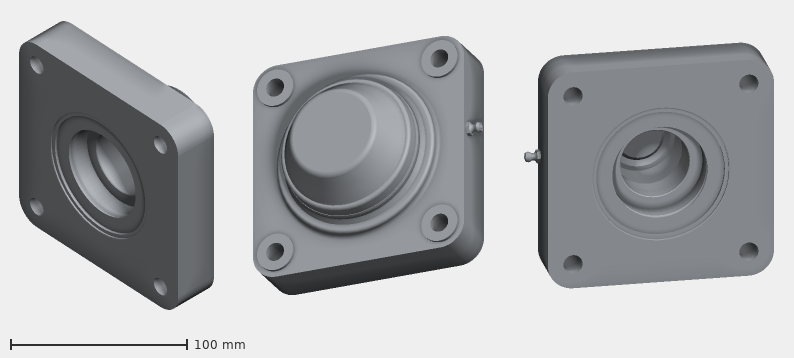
import cadquery as cq
import math


PLATE_SIDE = 131.0
PLATE_THICKNESS = 28.0
CORNER_RADIUS = 14.5
BOLT_OFFSET = 51.0
BOLT_HOLE_DIAMETER = 11.0
BOLT_PAD_DIAMETER = 22.4
BOLT_PAD_HEIGHT = 2.0

FLANGE_RADIUS = 48.9
FLANGE_BOTTOM_Y = 30.4
FLANGE_TOP_Y = 33.5
FLANGE_TOP_FILLET = 2.0
FLANGE_FOOT_FILLET = FLANGE_BOTTOM_Y - PLATE_THICKNESS
HUB_RADIUS = 41.6
HUB_CONE_HEIGHT = 2.4
RIM_CHAMFER_Y = 38.4
RIM_TOP_Y = 39.8
RIM_TOP_RADIUS = 41.2

SEAT_RADIUS = 37.2
SHELF_RADIUS = 39.6
SHELF_DEPTH = 1.1
MOUTH_RADIUS = 40.2
MOUTH_CHAMFER_DEPTH = 0.1

OUTER_RING_FACE_Y = 2.8
OUTER_RING_BORE_RADIUS = 27.6
LIP_THICKNESS = 0.7
GROOVE_RADIUS = 28.4
GROOVE_FLOOR_END_Y = 5.3
GROOVE_END_Y = 6.6
INNER_RING_FACE_Y = 17.2
SHAFT_RADIUS = 20.0
SHAFT_CHAMFER = 0.4
RINGS_TOP_Y = 38.4

CAP_BASE_RADIUS = 40.9
CAP_SHOULDER_RADIUS = 40.3
CAP_SHOULDER_Y = 47.2
CAP_SHOULDER_FILLET = 2.1
CAP_NECK_FOOT_RADIUS = 37.5
CAP_NECK_RADIUS = 36.7
CAP_NECK_Y = 48.3
CAP_CONE_MID = (31.9, 55.7)
CAP_CONE_TOP = (27.7, 63.0)
CAP_TOP_EDGE_MID = (26.5, 64.7)
CAP_TOP_RADIUS = 24.4
CAP_TOP_Y = 65.5
CAP_WALL = 3.5
ROOF_GROOVE_OUTER = 18.2
ROOF_GROOVE_MIDDLE = 15.1
ROOF_GROOVE_INNER = 13.0
ROOF_GROOVE_DEPTH = 2.1

NIPPLE_Y = 23.0
NIPPLE_Z = 7.3
NIPPLE_LENGTH = 9.0
HEX_ACROSS_FLATS = 7.0
HEX_HEIGHT = 2.1
HEX_TURN = 30
NECK_START = (HEX_HEIGHT, 3.2)
NECK_MID = (3.6, 2.1)
NECK_END = (5.3, 2.5)
HEAD_RIDGE = (6.6, 3.1)
HEAD_FRONT = (8.4, 2.5)
TIP_BASE_RADIUS = 1.4
TIP_END_RADIUS = 1.0


def circle_point(center, radius, degrees):
    """Point on a circle in the (radius, Y) half-plane."""
    angle = math.radians(degrees)
    return (center[0] + radius * math.cos(angle), center[1] + radius * math.sin(angle))


def revolve_about_y(profile):
    """Close a (radius, Y) profile and turn it around the bearing axis."""
    return profile.close().revolve(360, (0, 0, 0), (0, 1, 0))


def cylinder_along_y(points, radius, y_start, y_end):
    """One cylinder of the given radius at each (X, Z) point."""
    plane = cq.Workplane("XZ", origin=(0, y_start, 0))
    return plane.pushPoints(points).circle(radius).extrude(y_start - y_end)


def housing_hub():
    foot_center = (FLANGE_RADIUS + FLANGE_FOOT_FILLET, FLANGE_BOTTOM_Y)
    top_center = (FLANGE_RADIUS - FLANGE_TOP_FILLET, FLANGE_TOP_Y - FLANGE_TOP_FILLET)
    profile = (
        cq.Workplane("XY")
        .moveTo(0, PLATE_THICKNESS)
        .lineTo(FLANGE_RADIUS + FLANGE_FOOT_FILLET, PLATE_THICKNESS)
        .threePointArc(circle_point(foot_center, FLANGE_FOOT_FILLET, 225), (FLANGE_RADIUS, FLANGE_BOTTOM_Y))
        .lineTo(FLANGE_RADIUS, FLANGE_TOP_Y - FLANGE_TOP_FILLET)
        .threePointArc(
            circle_point(top_center, FLANGE_TOP_FILLET, 45),
            (FLANGE_RADIUS - FLANGE_TOP_FILLET, FLANGE_TOP_Y),
        )
        .lineTo(HUB_RADIUS + HUB_CONE_HEIGHT, FLANGE_TOP_Y)
        .lineTo(HUB_RADIUS, FLANGE_TOP_Y + HUB_CONE_HEIGHT)
        .lineTo(HUB_RADIUS, RIM_CHAMFER_Y)
        .lineTo(RIM_TOP_RADIUS, RIM_TOP_Y)
        .lineTo(0, RIM_TOP_Y)
    )
    return revolve_about_y(profile)


def housing_bore():
    profile = (
        cq.Workplane("XY")
        .lineTo(MOUTH_RADIUS, 0)
        .lineTo(SHELF_RADIUS, MOUTH_CHAMFER_DEPTH)
        .lineTo(SHELF_RADIUS, SHELF_DEPTH)
        .lineTo(SEAT_RADIUS, SHELF_DEPTH)
        .lineTo(SEAT_RADIUS, RIM_TOP_Y)
        .lineTo(0, RIM_TOP_Y)
    )
    return revolve_about_y(profile)


def make_housing():
    bolt_points = [(x, z) for x in (-BOLT_OFFSET, BOLT_OFFSET) for z in (-BOLT_OFFSET, BOLT_OFFSET)]
    pad_top_y = PLATE_THICKNESS + BOLT_PAD_HEIGHT
    plate = (
        cq.Workplane("XZ")
        .rect(PLATE_SIDE, PLATE_SIDE)
        .extrude(-PLATE_THICKNESS)
        .edges("|Y")
        .fillet(CORNER_RADIUS)
    )
    pads = cylinder_along_y(bolt_points, BOLT_PAD_DIAMETER / 2, PLATE_THICKNESS, pad_top_y)
    holes = cylinder_along_y(bolt_points, BOLT_HOLE_DIAMETER / 2, 0, pad_top_y)
    return plate.union(housing_hub()).union(pads).cut(holes).cut(housing_bore())


def make_outer_ring():
    lip_end_y = OUTER_RING_FACE_Y + LIP_THICKNESS
    profile = (
        cq.Workplane("XY")
        .moveTo(OUTER_RING_BORE_RADIUS, OUTER_RING_FACE_Y)
        .lineTo(SEAT_RADIUS, OUTER_RING_FACE_Y)
        .lineTo(SEAT_RADIUS, RINGS_TOP_Y)
        .lineTo(OUTER_RING_BORE_RADIUS, RINGS_TOP_Y)
        .lineTo(OUTER_RING_BORE_RADIUS, GROOVE_END_Y)
        .lineTo(GROOVE_RADIUS, GROOVE_FLOOR_END_Y)
        .lineTo(GROOVE_RADIUS, lip_end_y)
        .lineTo(OUTER_RING_BORE_RADIUS, lip_end_y)
    )
    return revolve_about_y(profile)


def make_inner_ring():
    profile = (
        cq.Workplane("XY")
        .moveTo(SHAFT_RADIUS + SHAFT_CHAMFER, INNER_RING_FACE_Y)
        .lineTo(OUTER_RING_BORE_RADIUS, INNER_RING_FACE_Y)
        .lineTo(OUTER_RING_BORE_RADIUS, RINGS_TOP_Y)
        .lineTo(SHAFT_RADIUS, RINGS_TOP_Y)
        .lineTo(SHAFT_RADIUS, INNER_RING_FACE_Y + SHAFT_CHAMFER)
    )
    return revolve_about_y(profile)


def make_cap():
    shoulder_center = (CAP_SHOULDER_RADIUS - CAP_SHOULDER_FILLET, CAP_SHOULDER_Y - CAP_SHOULDER_FILLET)
    roof_y = CAP_TOP_Y - CAP_WALL
    profile = (
        cq.Workplane("XY")
        .moveTo(SEAT_RADIUS, RIM_TOP_Y)
        .lineTo(CAP_BASE_RADIUS, RIM_TOP_Y)
        .lineTo(CAP_SHOULDER_RADIUS, CAP_SHOULDER_Y - CAP_SHOULDER_FILLET)
        .threePointArc(
            circle_point(shoulder_center, CAP_SHOULDER_FILLET, 45),
            (shoulder_center[0], CAP_SHOULDER_Y),
        )
        .lineTo(CAP_NECK_FOOT_RADIUS, CAP_SHOULDER_Y)
        .lineTo(CAP_NECK_RADIUS, CAP_NECK_Y)
        .threePointArc(CAP_CONE_MID, CAP_CONE_TOP)
        .threePointArc(CAP_TOP_EDGE_MID, (CAP_TOP_RADIUS, CAP_TOP_Y))
        .lineTo(0, CAP_TOP_Y)
        .lineTo(0, roof_y)
        .lineTo(ROOF_GROOVE_INNER, roof_y)
        .lineTo(ROOF_GROOVE_MIDDLE, roof_y + ROOF_GROOVE_DEPTH)
        .lineTo(ROOF_GROOVE_OUTER, roof_y)
        .lineTo(CAP_TOP_RADIUS - CAP_WALL, roof_y)
        .lineTo(CAP_NECK_RADIUS - CAP_WALL, CAP_NECK_Y)
        .lineTo(SEAT_RADIUS, CAP_NECK_Y - CAP_WALL)
    )
    return revolve_about_y(profile)


def make_nipple():
    """Nipple standing on the -X side of the plate, with two hexagon flats facing up and down."""
    hexagon = (
        cq.Workplane("YZ")
        .polygon(6, HEX_ACROSS_FLATS, circumscribed=True)
        .extrude(HEX_HEIGHT)
        .rotate((0, 0, 0), (1, 0, 0), HEX_TURN)
    )
    stem = (
        cq.Workplane("XY")
        .lineTo(0, NECK_START[1])
        .lineTo(*NECK_START)
        .threePointArc(NECK_MID, NECK_END)
        .lineTo(*HEAD_RIDGE)
        .lineTo(*HEAD_FRONT)
        .lineTo(HEAD_FRONT[0], TIP_BASE_RADIUS)
        .lineTo(NIPPLE_LENGTH, TIP_END_RADIUS)
        .lineTo(NIPPLE_LENGTH, 0)
        .close()
        .revolve(360, (0, 0, 0), (1, 0, 0))
    )
    return hexagon.union(stem).mirror("YZ").translate((-PLATE_SIDE / 2, NIPPLE_Y, NIPPLE_Z))


housing = make_housing()
outer_ring = make_outer_ring()
inner_ring = make_inner_ring()
cap = make_cap()
nipple = make_nipple()

result = cq.Compound.makeCompound(
    [housing.val(), outer_ring.val(), inner_ring.val(), cap.val(), nipple.val()]
)